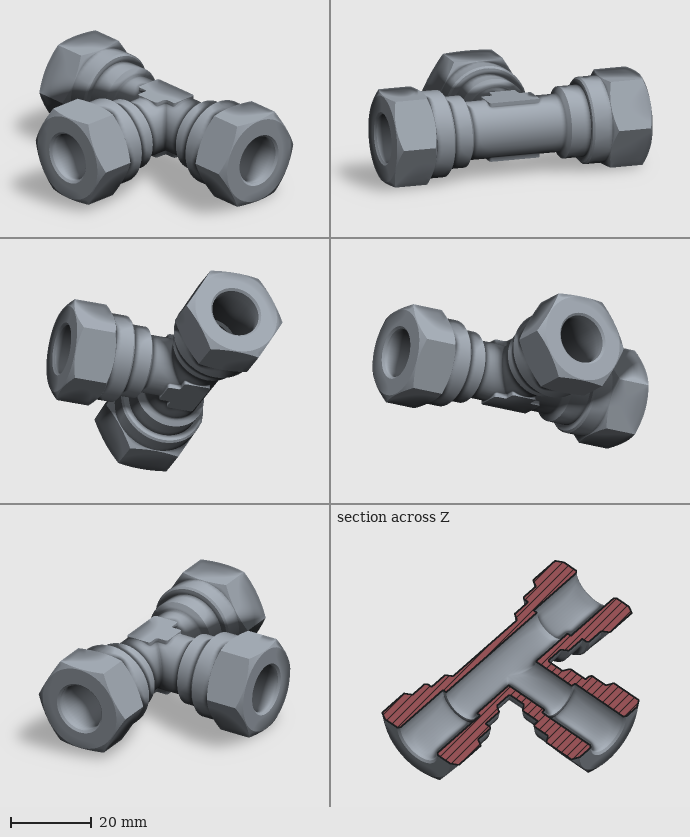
import cadquery as cq
import math

arm_length = 33.5
tube_radius = 7.25
bore_radius = 5.0

cone_start = 11.9
body_start = 13.0
body_radius = 9.0
cone_foot_fillet = 0.5
collar_start = 18.0
collar_radius = 10.85
collar_chamfer = 0.5

nut_start = 23.0
nut_across_flats = 22.0
nut_face_radius = 10.8
nut_chamfer_angle = math.radians(30)

socket_radius = 6.1
socket_bottom = 17.0
socket_mouth_radius = 6.65
socket_chamfer = 0.55

pad_reach = 6.6
pad_half_width = 3.4
pad_height = 7.5
pad_corner_radius = 0.6
pad_base_fillet = 0.2

joint_fillet = 0.35

joint_margin = 1.35
joint_zone = tube_radius + joint_margin

nut_corner_radius = nut_across_flats / math.sqrt(3)
nut_chamfer_length = (nut_corner_radius - nut_face_radius) * math.tan(nut_chamfer_angle)


def revolve_about_z(points):
    """Turn a (radius, height) outline into a solid around the Z axis."""
    return cq.Workplane("XZ").polyline(points).close().revolve(360, (0, 0), (0, 1))


def along_arms(shape):
    """Copies of a shape built along +Z, laid along -X, +X and -Y."""
    along_x = shape.rotate((0, 0, 0), (0, 1, 0), 90)
    return [along_x.rotate((0, 0, 0), (0, 0, 1), turn) for turn in (180, 0, -90)]


def tee():
    """Plain solid tee, filleted where the branch runs into the through tube."""
    run = cq.Workplane("YZ").circle(tube_radius).extrude(nut_start, both=True)
    branch = cq.Workplane("XZ").circle(tube_radius).extrude(nut_start)
    inner_side = cq.selectors.BoxSelector(
        (-joint_zone, -joint_zone, -joint_zone),
        (joint_zone, -joint_fillet, joint_zone),
    )
    return run.union(branch).edges(inner_side).fillet(joint_fillet)


def stepped_body():
    """Coned shoulder, body and chamfered collar behind the nut."""
    outline = revolve_about_z([
        (0, joint_zone),
        (tube_radius, joint_zone),
        (tube_radius, cone_start),
        (body_radius, body_start),
        (body_radius, collar_start),
        (collar_radius - collar_chamfer, collar_start),
        (collar_radius, collar_start + collar_chamfer),
        (collar_radius, nut_start),
        (0, nut_start),
    ])
    cone_foot = cq.selectors.NearestToPointSelector((0, 0, cone_start))
    return outline.edges(cone_foot).fillet(cone_foot_fillet)


def nut():
    """Hexagon with flats above and below once laid in place, both ends turned to a cone."""
    hexagon = (
        cq.Workplane("XY", origin=(0, 0, nut_start))
        .transformed(rotate=(0, 0, 90))
        .polygon(6, 2 * nut_corner_radius)
        .extrude(arm_length - nut_start)
    )
    envelope = revolve_about_z([
        (0, nut_start),
        (nut_face_radius, nut_start),
        (nut_corner_radius, nut_start + nut_chamfer_length),
        (nut_corner_radius, arm_length - nut_chamfer_length),
        (nut_face_radius, arm_length),
        (0, arm_length),
    ])
    return hexagon.intersect(envelope)


def passage():
    """Bore from the centre, opening into the chamfered pipe socket."""
    return revolve_about_z([
        (0, 0),
        (bore_radius, 0),
        (bore_radius, socket_bottom),
        (socket_radius, socket_bottom),
        (socket_radius, arm_length - socket_chamfer),
        (socket_mouth_radius, arm_length),
        (0, arm_length),
    ])


def pad():
    """T-shaped plate through the tee centre, forming a flat pad on top and underneath."""
    bar = cq.Workplane("XY").rect(2 * pad_reach, 2 * pad_half_width).extrude(pad_height, both=True)
    stem = (
        cq.Workplane("XY")
        .center(0, -pad_reach / 2)
        .rect(2 * pad_half_width, pad_reach)
        .extrude(pad_height, both=True)
    )
    return bar.union(stem).edges("|Z").fillet(pad_corner_radius)


def fillet_pad_base(body, side):
    """Round the foot of the pad on the given side (+1 top, -1 underneath)."""
    heights = sorted((side * bore_radius, side * tube_radius))
    foot = cq.selectors.BoxSelector(
        (-joint_zone, -joint_zone, heights[0]),
        (joint_zone, joint_zone, heights[1]),
    )
    return body.edges("not |Z").edges(foot).fillet(pad_base_fillet)


result = tee().union(pad())
for pad_side in (1, -1):
    result = fillet_pad_base(result, pad_side)
for piece in along_arms(stepped_body()) + along_arms(nut()):
    result = result.union(piece)
for bored_hole in along_arms(passage()):
    result = result.cut(bored_hole)